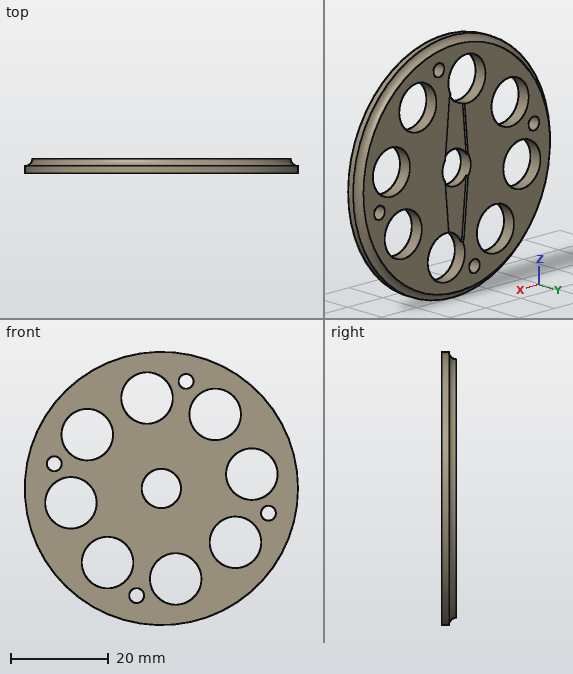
import cadquery as cq
import math

disc_diameter = 56.0
disc_thickness = 3.0
rim_thickness = 1.5
cove_radius = disc_thickness - rim_thickness

center_hole_diameter = 8.0
large_hole_diameter = 10.5
large_hole_count = 8
large_hole_circle_radius = 18.75
large_hole_start_angle = 9.0
small_hole_diameter = 3.0
small_hole_count = 4
small_hole_circle_radius = 22.5
small_hole_start_angle = -13.0

recess_depth = 0.6
recess_hub_radius = 3.45
recess_tip_radius = 2.1
recess_tip_distance = 14.9

disc_radius = disc_diameter / 2
front_y = -disc_thickness / 2
back_y = disc_thickness / 2
rim_back_y = front_y + rim_thickness
back_radius = disc_radius - cove_radius


def make_disc():
    """Disc with a plain front rim and a concave quarter-round cove behind it."""
    arc_reach = cove_radius * math.sqrt(0.5)
    cove_middle = (disc_radius - arc_reach, back_y - arc_reach)
    profile = (
        cq.Workplane("XY")
        .moveTo(0, front_y)
        .lineTo(disc_radius, front_y)
        .lineTo(disc_radius, rim_back_y)
        .threePointArc(cove_middle, (back_radius, back_y))
        .lineTo(0, back_y)
        .close()
    )
    return profile.revolve(360, (0, 0), (0, 1))


def circle_points(count, radius, start_angle):
    """Evenly spaced (X, Z) points on a circle about the disc axis."""
    points = []
    for index in range(count):
        angle = math.radians(start_angle + index * 360 / count)
        points.append((radius * math.cos(angle), radius * math.sin(angle)))
    return points


def hole_cutters(diameter, points):
    """Cylinders along Y that pass through the full disc thickness."""
    return (
        cq.Workplane("XZ", origin=(0, back_y, 0))
        .pushPoints(points)
        .circle(diameter / 2)
        .extrude(disc_thickness)
    )


def make_arm_cutter():
    """Tapered arm along +Z with a round tip whose arc is tangent to both sides."""
    taper_sine = (recess_hub_radius - recess_tip_radius) / recess_tip_distance
    taper_cosine = math.sqrt(1 - taper_sine**2)
    hub_x = recess_hub_radius * taper_cosine
    hub_z = recess_hub_radius * taper_sine
    tip_x = recess_tip_radius * taper_cosine
    tip_z = recess_tip_distance + recess_tip_radius * taper_sine
    return (
        cq.Workplane("XZ", origin=(0, back_y, 0))
        .moveTo(hub_x, hub_z)
        .lineTo(tip_x, tip_z)
        .threePointArc((0, recess_tip_distance + recess_tip_radius), (-tip_x, tip_z))
        .lineTo(-hub_x, hub_z)
        .threePointArc((0, -recess_hub_radius), (hub_x, hub_z))
        .close()
        .extrude(recess_depth)
    )


large_hole_points = circle_points(large_hole_count, large_hole_circle_radius, large_hole_start_angle)
small_hole_points = circle_points(small_hole_count, small_hole_circle_radius, small_hole_start_angle)

result = make_disc()
result = result.cut(hole_cutters(center_hole_diameter, [(0, 0)]))
result = result.cut(hole_cutters(large_hole_diameter, large_hole_points))
result = result.cut(hole_cutters(small_hole_diameter, small_hole_points))

upper_arm = make_arm_cutter()
result = result.cut(upper_arm)
result = result.cut(upper_arm.rotate((0, 0, 0), (0, 1, 0), 180))